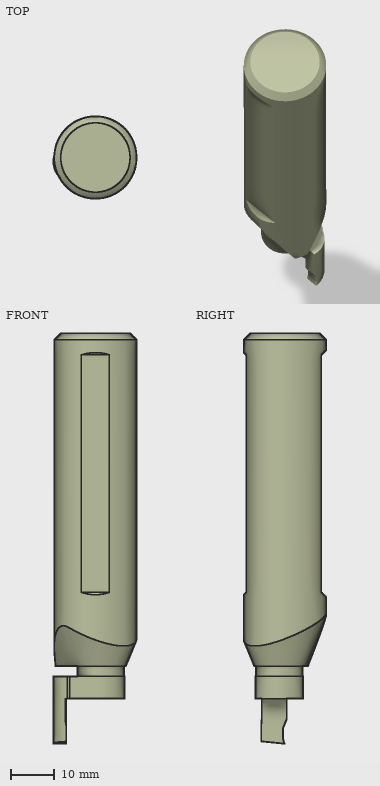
import cadquery as cq
import math

OVERALL_WIDTH = 19.3

SHANK_RADIUS = 19.1 / 2
SHANK_TOP = 94.9
SHANK_BOTTOM = 17.9
TOP_CHAMFER = 1.5
FLAT_BOTTOM = 35.0
FLAT_TOP = 89.9
FRONT_FLAT_DEPTH = 0.6
REAR_FLAT_DEPTH = 1.1

INSERT_X = 1.2
INSERT_Y = -1.3
NOSE_RADIUS = 5.8
NOSE_TAPER = 22.5
NOSE_HEIGHT = 15.2
FRONT_PLANE_ANGLE = 219.0
REAR_PLANE_ANGLE = 85.0
NOSE_REACH = 38.0

NECK_RADIUS = 5.4
HUB_RADIUS = 5.5
ARM_TOP = 15.6
ARM_BOTTOM = 10.4
ARM_FRONT_ANGLE = 267.0
ARM_CORNER = (-6.0, -6.3)
ARM_REAR_MIDDLE = (-5.7, 0.9)
ARM_REAR_JOIN_Y = 2.2
BLADE_LEFT = SHANK_RADIUS - OVERALL_WIDTH
BLADE_RIGHT = -6.7
BLADE_REAR = 0.43
BLADE_FRONT = -5.4
BLADE_ARC_RADIUS = 5.0
BLADE_ARC_Y = -0.95
ARM_ARC_END_X = -6.5

TIP_TOP = 5.8
TIP_FRONT = -5.8
TIP_FRONT_LOW = 0.6
TIP_THROAT = -0.43
TIP_THROAT_TOP = 3.6
TIP_THROAT_LOW = 1.1
TIP_EDGE_Y = -0.1


def clamping_flat(side, depth):
    """Cutter for one flat with 45 degree run-outs; side is -1 or +1 along Y."""
    flat_y = side * (SHANK_RADIUS - depth)
    margin = 2 * depth
    outer_y = flat_y + side * margin
    return (
        cq.Workplane("YZ")
        .moveTo(flat_y, FLAT_BOTTOM)
        .lineTo(flat_y, FLAT_TOP)
        .lineTo(outer_y, FLAT_TOP + margin)
        .lineTo(outer_y, FLAT_BOTTOM - margin)
        .close()
        .extrude(SHANK_RADIUS, both=True)
    )


def nose_envelope():
    """Tapered envelope: a cone plus the wedge between its two tangent planes."""
    top_radius = NOSE_RADIUS + NOSE_HEIGHT * math.tan(math.radians(NOSE_TAPER))
    cone = cq.Workplane("XY").add(
        cq.Solid.makeCone(NOSE_RADIUS, top_radius, NOSE_HEIGHT)
    )

    def wedge_section(radius, height):
        points = [(0, 0)]
        for angle, turn in ((FRONT_PLANE_ANGLE, -90), (REAR_PLANE_ANGLE, 90)):
            normal = math.radians(angle)
            along = math.radians(angle + turn)
            tangent = (radius * math.cos(normal), radius * math.sin(normal))
            far = (
                tangent[0] + NOSE_REACH * math.cos(along),
                tangent[1] + NOSE_REACH * math.sin(along),
            )
            side = [tangent, far]
            points += side if turn < 0 else side[::-1]
        return cq.Wire.makePolygon([cq.Vector(x, y, height) for x, y in points], close=True)

    wedge = cq.Solid.makeLoft(
        [wedge_section(NOSE_RADIUS, 0), wedge_section(top_radius, NOSE_HEIGHT)], True
    )
    return cone.union(cq.Workplane("XY").add(wedge)).translate((INSERT_X, INSERT_Y, SHANK_BOTTOM))


def make_shank():
    nose_top = SHANK_BOTTOM + NOSE_HEIGHT
    upper = (
        cq.Workplane("XY")
        .workplane(offset=nose_top)
        .circle(SHANK_RADIUS)
        .extrude(SHANK_TOP - nose_top)
        .faces(">Z")
        .chamfer(TOP_CHAMFER)
    )
    nose = (
        cq.Workplane("XY")
        .workplane(offset=SHANK_BOTTOM)
        .circle(SHANK_RADIUS)
        .extrude(NOSE_HEIGHT)
        .intersect(nose_envelope())
    )
    shank = upper.union(nose)
    for side, depth in ((-1, FRONT_FLAT_DEPTH), (1, REAR_FLAT_DEPTH)):
        shank = shank.cut(clamping_flat(side, depth))
    return shank


def blade_arc_point(x):
    """Point on the front half of the round outer face of the blade."""
    offset = x - (BLADE_LEFT + BLADE_ARC_RADIUS)
    return (x, BLADE_ARC_Y - math.sqrt(BLADE_ARC_RADIUS**2 - offset**2))


def arm_outline(bottom):
    """Plan outline of the arm: hub circle, front flat, round outer end, curved rear."""
    front_angle = math.radians(ARM_FRONT_ANGLE)
    front_tangent = (
        INSERT_X + HUB_RADIUS * math.cos(front_angle),
        INSERT_Y + HUB_RADIUS * math.sin(front_angle),
    )
    rear_rise = ARM_REAR_JOIN_Y - INSERT_Y
    rear_join = (INSERT_X - math.sqrt(HUB_RADIUS**2 - rear_rise**2), ARM_REAR_JOIN_Y)
    arc_rise = BLADE_REAR - BLADE_ARC_Y
    arc_center_x = BLADE_LEFT + BLADE_ARC_RADIUS
    rear_corner = (arc_center_x - math.sqrt(BLADE_ARC_RADIUS**2 - arc_rise**2), BLADE_REAR)
    return (
        cq.Workplane("XY")
        .workplane(offset=bottom)
        .moveTo(*front_tangent)
        .lineTo(*ARM_CORNER)
        .lineTo(*blade_arc_point(ARM_ARC_END_X))
        .threePointArc((BLADE_LEFT, BLADE_ARC_Y), rear_corner)
        .threePointArc(ARM_REAR_MIDDLE, rear_join)
        .threePointArc((INSERT_X + HUB_RADIUS, INSERT_Y), front_tangent)
        .close()
    )


def make_blade():
    """Blade: the outer end of the arm outline carried down, trimmed to the tip profile."""
    side_profile = (
        cq.Workplane("YZ")
        .workplane(offset=BLADE_LEFT)
        .moveTo(BLADE_REAR, ARM_TOP)
        .lineTo(BLADE_REAR, TIP_TOP)
        .lineTo(TIP_THROAT, TIP_THROAT_TOP)
        .lineTo(TIP_THROAT, TIP_THROAT_LOW)
        .lineTo(TIP_EDGE_Y, 0)
        .lineTo(TIP_FRONT, TIP_FRONT_LOW)
        .lineTo(BLADE_FRONT, TIP_TOP)
        .lineTo(BLADE_FRONT, ARM_TOP)
        .close()
        .extrude(BLADE_RIGHT - BLADE_LEFT)
    )
    return arm_outline(0).extrude(ARM_TOP).intersect(side_profile)


def make_insert():
    neck = (
        cq.Workplane("XY")
        .workplane(offset=ARM_TOP)
        .center(INSERT_X, INSERT_Y)
        .circle(NECK_RADIUS)
        .extrude(SHANK_BOTTOM - ARM_TOP)
    )
    arm = arm_outline(ARM_BOTTOM).extrude(ARM_TOP - ARM_BOTTOM)
    return arm.union(neck).union(make_blade())


shank = make_shank()
insert = make_insert()
result = cq.Compound.makeCompound([shank.solids().val(), insert.solids().val()])